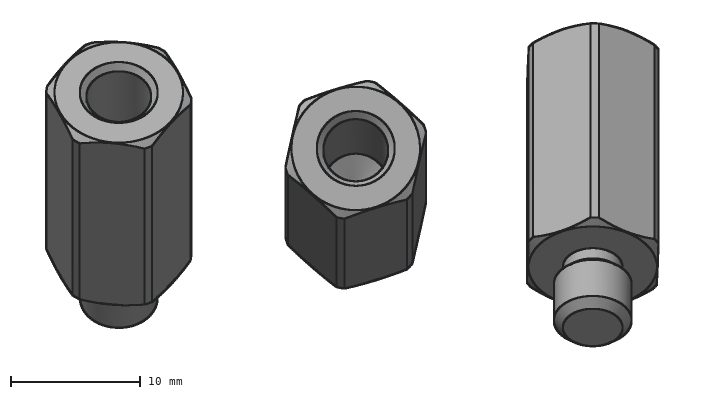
import cadquery as cq
import math

total_length = 26.0
stud_length = 6.0
body_length = total_length - stud_length
across_flats = 10.0
corner_diameter = 11.2

face_diameter = 9.9
body_chamfer_angle = 30.0

stud_diameter = 6.0
neck_diameter = 4.6
neck_length = 1.01
stud_chamfer = (stud_diameter - neck_diameter) / 2

hole_diameter = 5.0
hole_mouth_diameter = stud_diameter
hole_depth = 10.0
drill_point_angle = 120.0


def revolve_profile(points):
    """Revolve a closed (radius, height) outline around the Z axis."""
    return cq.Workplane("XZ").polyline(points).close().revolve(360, (0, 0), (0, 1))


def make_body():
    """Hexagonal prism trimmed by a chamfered cylinder."""
    across_corners = across_flats / math.cos(math.radians(30))
    hexagon = (
        cq.Workplane("XY", origin=(0, 0, stud_length))
        .polygon(6, across_corners)
        .extrude(body_length)
        .rotate((0, 0, 0), (0, 0, 1), 30)
    )
    corner_radius = corner_diameter / 2
    face_radius = face_diameter / 2
    chamfer_height = (corner_radius - face_radius) * math.tan(math.radians(body_chamfer_angle))
    envelope = revolve_profile([
        (0, stud_length),
        (face_radius, stud_length),
        (corner_radius, stud_length + chamfer_height),
        (corner_radius, total_length - chamfer_height),
        (face_radius, total_length),
        (0, total_length),
    ])
    return hexagon.intersect(envelope)


def make_stud():
    """Cylindrical stud, chamfered at the tip and tapering into the neck."""
    stud_radius = stud_diameter / 2
    neck_radius = neck_diameter / 2
    neck_bottom = stud_length - neck_length
    return revolve_profile([
        (0, 0),
        (neck_radius, 0),
        (stud_radius, stud_chamfer),
        (stud_radius, neck_bottom - stud_chamfer),
        (neck_radius, neck_bottom),
        (neck_radius, stud_length),
        (0, stud_length),
    ])


def make_hole():
    """Blind hole with a 45 degree countersunk mouth and a conical drill point."""
    hole_radius = hole_diameter / 2
    mouth_radius = hole_mouth_diameter / 2
    countersink_depth = mouth_radius - hole_radius
    hole_bottom = total_length - hole_depth
    point_depth = hole_radius / math.tan(math.radians(drill_point_angle / 2))
    return revolve_profile([
        (0, hole_bottom - point_depth),
        (hole_radius, hole_bottom),
        (hole_radius, total_length - countersink_depth),
        (mouth_radius, total_length),
        (0, total_length),
    ])


result = make_body().union(make_stud()).cut(make_hole())